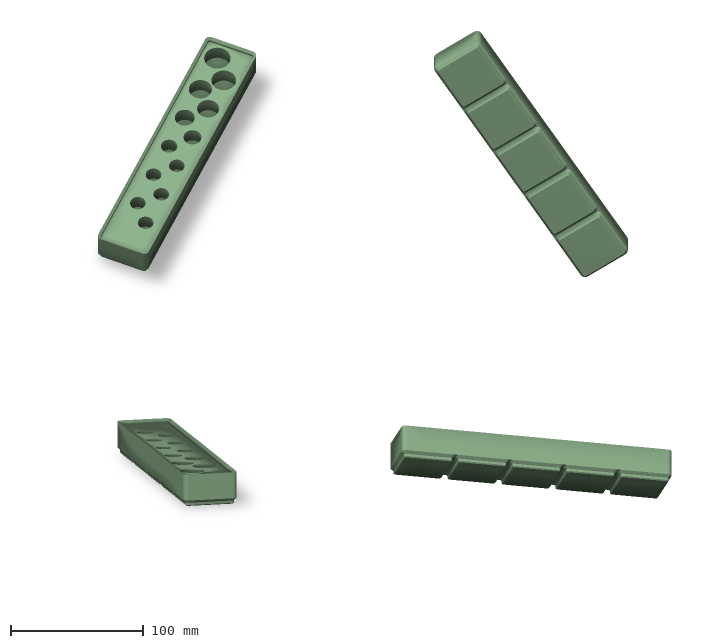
import cadquery as cq


length = 209.5
width = 41.5
height = 24.7
corner_radius = 3.8
flare_angle = -45

foot_count = 5
foot_pitch = (length - width) / (foot_count - 1)
foot_lower_taper = 0.8
foot_straight = 1.8
foot_upper_taper = 2.0
foot_height = foot_lower_taper + foot_straight + foot_upper_taper

lip_straight = 1.8
lip_bevel = 1.9
deck_height = height - lip_straight - lip_bevel

hole_diameters = [20.0, 18.6, 17.4, 16.5, 15.0, 13.5, 12.4, 11.7, 11.7, 11.7, 11.7, 11.7]
left_column_x = -6.3
right_column_x = 6.5
first_hole_y = 90.7
second_hole_y = 73.3
last_hole_y = -74.2
hole_pitch = (second_hole_y - last_hole_y) / (len(hole_diameters) - 2)
hole_depth = 12.4


def rounded_block(size_x, size_y, radius, bottom, block_height, taper=0.0):
    """Upright block with rounded corners; its walls lean inward by `taper` degrees."""
    outline = cq.Sketch().rect(size_x, size_y).vertices().fillet(radius)
    return cq.Workplane("XY").workplane(offset=bottom).placeSketch(outline).extrude(block_height, taper=taper)


def make_foot():
    """One foot, centred on the origin and standing on Z = 0."""
    neck_width = width - 2 * foot_upper_taper
    neck_radius = corner_radius - foot_upper_taper
    sole_width = neck_width - 2 * foot_lower_taper
    sole_radius = neck_radius - foot_lower_taper
    neck_top = foot_lower_taper + foot_straight
    sole = rounded_block(sole_width, sole_width, sole_radius, 0, foot_lower_taper, flare_angle)
    neck = rounded_block(neck_width, neck_width, neck_radius, foot_lower_taper, foot_straight)
    flare = rounded_block(neck_width, neck_width, neck_radius, neck_top, foot_upper_taper, flare_angle)
    return sole.union(neck).union(flare)


def make_lip_recess():
    """Space inside the stacking lip, above the deck."""
    recess_width = width - 2 * lip_bevel
    recess_length = length - 2 * lip_bevel
    recess_radius = corner_radius - lip_bevel
    bevel_bottom = deck_height + lip_straight
    straight = rounded_block(recess_width, recess_length, recess_radius, deck_height, lip_straight)
    bevel = rounded_block(recess_width, recess_length, recess_radius, bevel_bottom, lip_bevel, flare_angle)
    return straight.union(bevel)


def hole_centre(index):
    """Holes alternate between the columns; the largest hole stands apart from the even pitch of the rest."""
    x = left_column_x if index % 2 == 0 else right_column_x
    if index == 0:
        return x, first_hole_y
    return x, second_hole_y - (index - 1) * hole_pitch


result = rounded_block(width, length, corner_radius, foot_height, height - foot_height)

foot = make_foot()
for i in range(foot_count):
    foot_y = (i - (foot_count - 1) / 2) * foot_pitch
    result = result.union(foot.translate((0, foot_y, 0)))

result = result.cut(make_lip_recess())

for i, diameter in enumerate(hole_diameters):
    x, y = hole_centre(i)
    hole_floor = cq.Workplane("XY").workplane(offset=deck_height - hole_depth)
    result = result.cut(hole_floor.center(x, y).circle(diameter / 2).extrude(hole_depth))